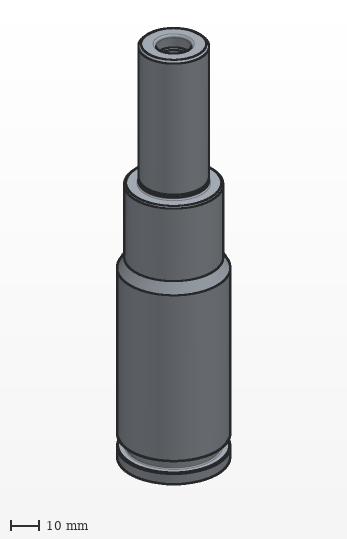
import cadquery as cq
import math

total_height = 170.0

body_diameter = 40.0
foot_diameter = 28.0
foot_slope = 30.0
flange_top = 8.0
groove_diameter = 34.0
groove_fillet = 0.4
barrel_bottom = 12.5
barrel_top = 79.7
edge_chamfer = 0.4

cone_half_angle = 30.0
sleeve_diameter = 35.0
sleeve_top = 114.0
sleeve_chamfer = 0.7

rod_diameter = 25.0
rod_chamfer = 1.0
root_fillet = 0.5
neck_diameter = 24.6
neck_bottom = sleeve_top + 1.0
neck_height = 1.0

bore_diameter = 10.92
counterbore_diameter = 12.5
counterbore_depth = 4.9
bore_step_height = 0.6
mouth_radius = 1.0

body_radius = body_diameter / 2
groove_radius = groove_diameter / 2
sleeve_radius = sleeve_diameter / 2
rod_radius = rod_diameter / 2
neck_radius = neck_diameter / 2


def round_corner(outline, end, center):
    """Continue the outline to `end` along a quarter circle about `center`."""
    arc_radius = math.dist(end, center)
    start = outline.val().endPoint().toTuple()
    start_radius, start_height = outline.plane.toLocalCoords(cq.Vector(*start)).toTuple()[:2]
    toward_radius = start_radius + end[0] - 2 * center[0]
    toward_height = start_height + end[1] - 2 * center[1]
    stretch = arc_radius / math.hypot(toward_radius, toward_height)
    middle = (center[0] + stretch * toward_radius, center[1] + stretch * toward_height)
    return outline.threePointArc(middle, end)


def revolve_outline(outline):
    """Close a (radius, height) outline and revolve it about the Z axis."""
    return outline.close().revolve(360, (0, 0), (0, 1))


def add_foot_and_flange(outline):
    """Conical foot and the flange above it."""
    foot_radius = foot_diameter / 2
    foot_height = (body_radius - foot_radius) * math.tan(math.radians(foot_slope))
    outline = outline.lineTo(foot_radius, 0)
    outline = outline.lineTo(body_radius, foot_height)
    outline = outline.lineTo(body_radius, flange_top - edge_chamfer)
    return outline.lineTo(body_radius - edge_chamfer, flange_top)


def add_groove(outline):
    """Ring groove with rounded inner corners."""
    fillet_center_radius = groove_radius + groove_fillet
    lower_height = flange_top + groove_fillet
    upper_height = barrel_bottom - groove_fillet
    outline = outline.lineTo(fillet_center_radius, flange_top)
    outline = round_corner(outline, (groove_radius, lower_height), (fillet_center_radius, lower_height))
    outline = outline.lineTo(groove_radius, upper_height)
    return round_corner(outline, (fillet_center_radius, barrel_bottom), (fillet_center_radius, upper_height))


def add_barrel_and_sleeve(outline):
    """Main barrel, the cone above it and the narrower sleeve."""
    cone_height = (body_radius - sleeve_radius) / math.tan(math.radians(cone_half_angle))
    outline = outline.lineTo(body_radius - edge_chamfer, barrel_bottom)
    outline = outline.lineTo(body_radius, barrel_bottom + edge_chamfer)
    outline = outline.lineTo(body_radius, barrel_top)
    outline = outline.lineTo(sleeve_radius, barrel_top + cone_height)
    outline = outline.lineTo(sleeve_radius, sleeve_top - sleeve_chamfer)
    return outline.lineTo(sleeve_radius - sleeve_chamfer, sleeve_top)


def add_rod(outline):
    """Rod with its root fillet, relief neck and end chamfer."""
    fillet_center = (rod_radius + root_fillet, sleeve_top + root_fillet)
    neck_top = neck_bottom + neck_height
    outline = outline.lineTo(fillet_center[0], sleeve_top)
    outline = round_corner(outline, (rod_radius, fillet_center[1]), fillet_center)
    outline = outline.lineTo(rod_radius, neck_bottom)
    outline = outline.lineTo(neck_radius, neck_bottom)
    outline = outline.lineTo(neck_radius, neck_top)
    outline = outline.lineTo(rod_radius, neck_top)
    outline = outline.lineTo(rod_radius, total_height - rod_chamfer)
    outline = outline.lineTo(rod_radius - rod_chamfer, total_height)
    return outline.lineTo(0, total_height)


def make_outside():
    """Solid turned shape, outlined from the bottom up."""
    outline = cq.Workplane("XZ").moveTo(0, 0)
    outline = add_foot_and_flange(outline)
    outline = add_groove(outline)
    outline = add_barrel_and_sleeve(outline)
    outline = add_rod(outline)
    return revolve_outline(outline)


def make_bore():
    """Through bore with a counterbore and a rounded mouth at the top."""
    bore_radius = bore_diameter / 2
    counterbore_radius = counterbore_diameter / 2
    counterbore_floor = total_height - counterbore_depth
    mouth_center = (counterbore_radius + mouth_radius, total_height - mouth_radius)
    outline = cq.Workplane("XZ").moveTo(0, 0)
    outline = outline.lineTo(bore_radius, 0)
    outline = outline.lineTo(bore_radius, counterbore_floor - bore_step_height)
    outline = outline.lineTo(counterbore_radius, counterbore_floor)
    outline = outline.lineTo(counterbore_radius, mouth_center[1])
    outline = round_corner(outline, (mouth_center[0], total_height), mouth_center)
    outline = outline.lineTo(0, total_height)
    return revolve_outline(outline)


result = make_outside().cut(make_bore())